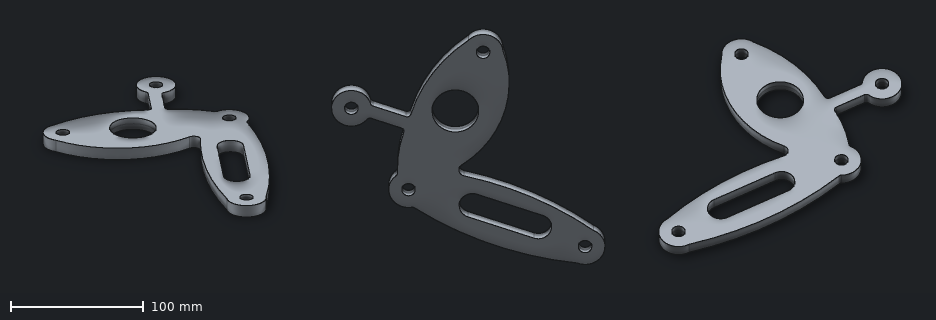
import cadquery as cq

thickness = 9.7
boss_diameter = 30.0
mount_hole_diameter = 10.0
overall_length = 210
hole_span = overall_length - boss_diameter

left_boss = (0, 0)
right_boss = (hole_span, 0)
top_boss = (80.0, 100.0)
strut_boss = (0, 109.8)
bosses = [left_boss, right_boss, top_boss, strut_boss]

left_start = (-14.5, 2.3)
left_mid = (0, 42.6)
strut_root = (27.3, 74.5)
shoulder_mid = (46.2, 91.8)
shoulder_end = (69.3, 103.7)
arm_start = (88.2, 106.7)
arm_outer_mid = (147, 64.0)
arm_outer_end = (192.4, 7.4)
arm_inner_start = (173.2, -13.0)
arm_inner_mid = (119.7, 23.3)
crotch = (79.5, 67.5)
belly_mid = (55.2, 9.7)
belly_end = (0.6, -14.5)

strut_start = (-1.5, 108.2)
strut_length = 48.3
strut_width = 10.3
strut_angle = -45

round_opening_center = (35.5, 40)
round_opening_diameter = 35.0
slot_center = (131.2, 43.5)
slot_width = 20.0
slot_center_distance = 52.7
slot_angle = -45

crotch_fillet = 5.0
neck_fillet = 3.0
strut_boss_corners = [(13.5, 103.1), (6.5, 96.4)]
strut_root_corners = [(32.1, 81.7), (23.3, 76.2)]
top_boss_corners = [(65.5, 102.5), (94.0, 103.5)]


def cylinder(center, diameter):
    """Full-thickness cylinder centred on Z = 0."""
    return cq.Workplane("XY").center(*center).circle(diameter / 2).extrude(thickness / 2, both=True)


def fillet_corner(body, corner, radius):
    """Round the vertical edge nearest to an XY position."""
    nearest = cq.selectors.NearestToPointSelector((*corner, 0))
    return body.edges("|Z").edges(nearest).fillet(radius)


web = (
    cq.Workplane("XY")
    .moveTo(*left_start)
    .threePointArc(left_mid, strut_root)
    .threePointArc(shoulder_mid, shoulder_end)
    .lineTo(*top_boss)
    .lineTo(*arm_start)
    .threePointArc(arm_outer_mid, arm_outer_end)
    .lineTo(*right_boss)
    .lineTo(*arm_inner_start)
    .threePointArc(arm_inner_mid, crotch)
    .threePointArc(belly_mid, belly_end)
    .lineTo(*left_boss)
    .close()
    .extrude(thickness / 2, both=True)
)

strut = (
    cq.Workplane("XY")
    .transformed(offset=(*strut_start, 0), rotate=(0, 0, strut_angle))
    .center(strut_length / 2, 0)
    .rect(strut_length, strut_width)
    .extrude(thickness / 2, both=True)
)

plate = web.union(strut)
for boss in bosses:
    plate = plate.union(cylinder(boss, boss_diameter))

plate = fillet_corner(plate, crotch, crotch_fillet)
for corner in strut_boss_corners + strut_root_corners + top_boss_corners:
    plate = fillet_corner(plate, corner, neck_fillet)

for boss in bosses:
    plate = plate.cut(cylinder(boss, mount_hole_diameter))
plate = plate.cut(cylinder(round_opening_center, round_opening_diameter))

slot = (
    cq.Workplane("XY")
    .center(*slot_center)
    .slot2D(slot_center_distance + slot_width, slot_width, slot_angle)
    .extrude(thickness / 2, both=True)
)
result = plate.cut(slot)